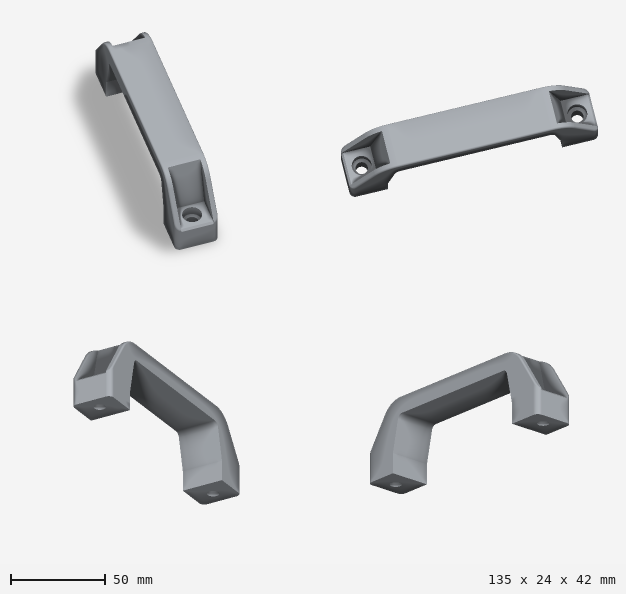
import cadquery as cq

length = 135.0
width = 24.0
height = 42.0

foot_length = 20.1
foot_inner_height = 11.5
grip_underside = 32.1
inner_corner_x = 24.7
inner_corner_radius = 3.1
flank_base_height = 15.1
flank_corner_x = 17.7
shoulder_radius = 14.8

foot_corner_radius = 3.0
rim_radius = 1.0

pocket_width = width - 2 * foot_corner_radius
pocket_floor = 15.0
pocket_wall_x = 15.8
pocket_wall_slope = 0.24
lip_chamfer = 1.1
hole_inset = 8.9
hole_diameter = 6.5
counterbore_diameter = 10.5
counterbore_depth = 5.4

half_length = length / 2
cut_margin = 1.4
pick_margin = 0.1


def handle_body():
    """Bow-shaped profile extruded across the full width, with rounded corners."""
    left_half = [
        (-half_length + inner_corner_x, grip_underside),
        (-half_length + foot_length, foot_inner_height),
        (-half_length + foot_length, 0),
        (-half_length, 0),
        (-half_length, flank_base_height),
        (-half_length + flank_corner_x, height),
    ]
    right_half = [(-x, z) for x, z in reversed(left_half)]
    body = (
        cq.Workplane("XZ")
        .polyline(left_half + right_half)
        .close()
        .extrude(width / 2, both=True)
    )

    def cross_edges(corner_x, z):
        """Select the two mirrored edges running across the width at a profile corner."""
        x = half_length - corner_x
        left = cq.selectors.BoxSelector(
            (-x - pick_margin, -width, z - pick_margin),
            (-x + pick_margin, width, z + pick_margin),
        )
        right = cq.selectors.BoxSelector(
            (x - pick_margin, -width, z - pick_margin),
            (x + pick_margin, width, z + pick_margin),
        )
        return body.edges(left + right)

    body = cross_edges(flank_corner_x, height).fillet(shoulder_radius)
    body = cross_edges(inner_corner_x, grip_underside).fillet(inner_corner_radius)
    for end in ("<X", ">X"):
        body = body.faces(end).edges("|Z").fillet(foot_corner_radius)
    return body.faces(">Z").edges("|X").fillet(rim_radius)


def pocket_cutter():
    """Screw pocket at the -X end, open outward and upward, with its lip chamfer."""
    cut_top = height + cut_margin
    wall_top_x = pocket_wall_x + pocket_wall_slope * (cut_top - pocket_floor)
    outline = [
        (-half_length - cut_margin, cut_top),
        (-half_length - cut_margin, pocket_floor - lip_chamfer - cut_margin),
        (-half_length + lip_chamfer, pocket_floor),
        (-half_length + pocket_wall_x, pocket_floor),
        (-half_length + wall_top_x, cut_top),
    ]
    return cq.Workplane("XZ").polyline(outline).close().extrude(pocket_width / 2, both=True)


def screw_hole_cutter():
    """Through hole with a counterbore sunk into the pocket floor at the -X end."""
    hole_x = -half_length + hole_inset
    hole = cq.Workplane("XY").center(hole_x, 0).circle(hole_diameter / 2).extrude(pocket_floor)
    counterbore = (
        cq.Workplane("XY", origin=(hole_x, 0, pocket_floor - counterbore_depth))
        .circle(counterbore_diameter / 2)
        .extrude(counterbore_depth)
    )
    return hole.union(counterbore)


end_cutter = pocket_cutter().union(screw_hole_cutter())
result = handle_body().cut(end_cutter).cut(end_cutter.mirror("YZ"))